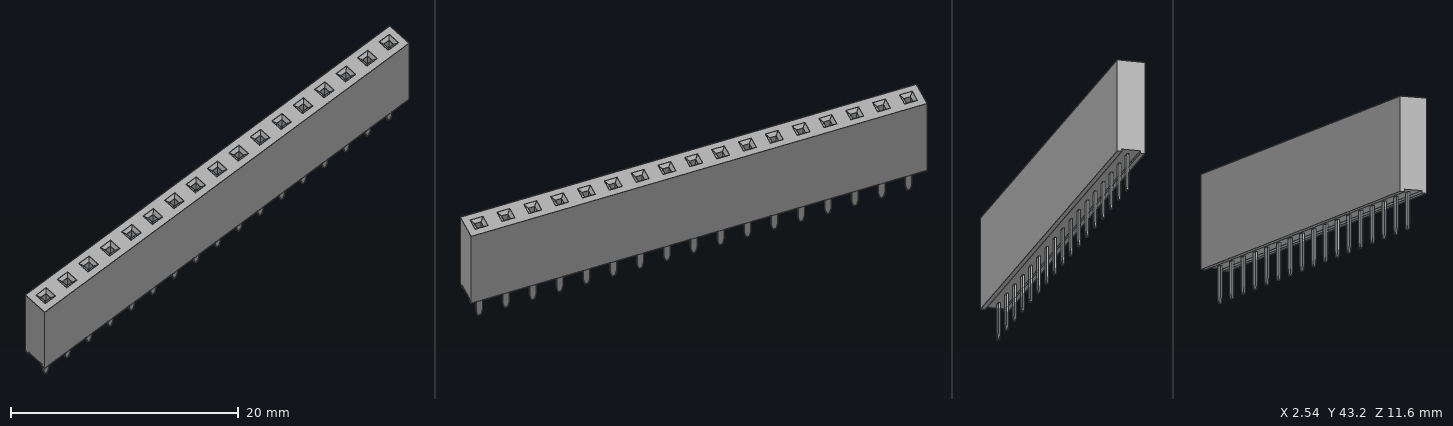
import cadquery as cq

contact_count = 17
body_length = 43.2
pitch = body_length / contact_count
body_width = pitch
body_height = 8.5

relief_width = 1.7
relief_depth = 0.2

funnel_mouth = 1.2
funnel_throat = 0.6
funnel_depth = (funnel_mouth - funnel_throat) / 2
socket_depth = 1.3
slot_width = 0.17
slot_length = 0.47
slot_depth = 2.15

pin_length = 3.1
pin_width = 0.6
pin_thickness = 0.17
tip_length = 0.6
tip_width = 0.3

contact_places = [(i - (contact_count - 1) / 2) * pitch for i in range(contact_count)]


def make_housing():
    """Rectangular bar standing on z = 0 with the underside relief removed."""
    bar = cq.Workplane("XY").box(body_width, body_length, body_height, centered=(True, True, False))
    relief = cq.Workplane("XY").box(relief_width, body_length, 2 * relief_depth)
    return bar.cut(relief)


def make_socket():
    """Cutting body of one socket, with its mouth at z = 0 and reaching downward."""
    funnel = (
        cq.Workplane("XY")
        .rect(funnel_mouth, funnel_mouth)
        .workplane(offset=-funnel_depth)
        .rect(funnel_throat, funnel_throat)
        .loft(ruled=True)
    )
    hole = cq.Workplane("XY").rect(funnel_throat, funnel_throat).extrude(-socket_depth)
    slot = cq.Workplane("XY").rect(slot_width, slot_length).extrude(-slot_depth)
    return funnel.union(hole).union(slot)


def make_pin():
    """Flat pin whose width lies along Y, rooted in the relief and ending in a tapered tip."""
    shoulder_z = tip_length - pin_length
    return (
        cq.Workplane("YZ")
        .moveTo(-pin_width / 2, relief_depth)
        .lineTo(pin_width / 2, relief_depth)
        .lineTo(pin_width / 2, shoulder_z)
        .lineTo(tip_width / 2, -pin_length)
        .lineTo(-tip_width / 2, -pin_length)
        .lineTo(-pin_width / 2, shoulder_z)
        .close()
        .extrude(pin_thickness / 2, both=True)
    )


socket = make_socket().val()
pin = make_pin().val()

result = make_housing()
for y in contact_places:
    result = result.cut(cq.Workplane(socket.translate(cq.Vector(0, y, body_height))))
    result = result.union(cq.Workplane(pin.translate(cq.Vector(0, y, 0))))